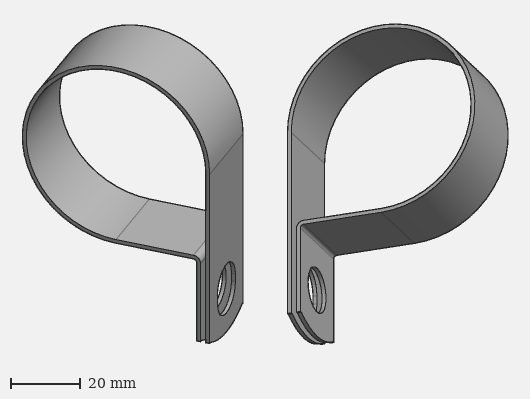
import cadquery as cq

strap_width = 25.4
strap_thickness = 1.22
loop_outer_diameter = 58.0
loop_outer_radius = loop_outer_diameter / 2
loop_inner_radius = loop_outer_radius - strap_thickness

overall_height = 87.72
leg_bottom = loop_outer_radius - overall_height
leg_gap = 1.6
bend_inner_radius = 1.0
bend_outer_radius = bend_inner_radius + strap_thickness
front_leg_outer_x = loop_inner_radius - leg_gap
front_leg_inner_x = front_leg_outer_x - strap_thickness
bend_center_x = front_leg_outer_x - bend_outer_radius
bend_center_z = -loop_inner_radius - bend_outer_radius

hole_diameter = 13.5
back_slot_length = 16.0
hole_height_above_end = 14.3
hole_center_z = leg_bottom + hole_height_above_end
end_radius = 26.3
end_shoulder_width = 0.75


def make_strap():
    """Bent strap: back leg, three-quarter loop, flat shelf, bend and front leg."""
    profile = (
        cq.Workplane("XZ")
        .moveTo(loop_outer_radius, leg_bottom)
        .lineTo(loop_outer_radius, 0)
        .threePointArc(arc_point(loop_outer_radius), (0, -loop_outer_radius))
        .lineTo(bend_center_x, -loop_outer_radius)
        .radiusArc((front_leg_inner_x, bend_center_z), bend_inner_radius)
        .lineTo(front_leg_inner_x, leg_bottom)
        .lineTo(front_leg_outer_x, leg_bottom)
        .lineTo(front_leg_outer_x, bend_center_z)
        .radiusArc((bend_center_x, -loop_inner_radius), -bend_outer_radius)
        .lineTo(0, -loop_inner_radius)
        .threePointArc(arc_point(loop_inner_radius), (loop_inner_radius, 0))
        .lineTo(loop_inner_radius, leg_bottom)
        .close()
    )
    return profile.extrude(strap_width / 2, both=True)


def arc_point(radius):
    """Middle of the three-quarter loop arc, at its upper left."""
    offset = radius / 2**0.5
    return (-offset, offset)


def make_side_outline():
    """Block with the strap's side outline, its lower end closed by a shallow arc."""
    half_width = strap_width / 2
    arc_half_width = half_width - end_shoulder_width
    end_rise = end_radius - (end_radius**2 - arc_half_width**2) ** 0.5
    shoulder_z = leg_bottom + end_rise
    return (
        cq.Workplane("YZ")
        .moveTo(-half_width, loop_outer_radius)
        .lineTo(-half_width, shoulder_z)
        .lineTo(-arc_half_width, shoulder_z)
        .threePointArc((0, leg_bottom), (arc_half_width, shoulder_z))
        .lineTo(half_width, shoulder_z)
        .lineTo(half_width, loop_outer_radius)
        .close()
        .extrude(loop_outer_radius, both=True)
    )


def make_front_leg_hole():
    """Round hole through the front leg."""
    return (
        cq.Workplane("YZ", origin=(front_leg_inner_x, 0, hole_center_z))
        .circle(hole_diameter / 2)
        .extrude(strap_thickness)
    )


def make_back_leg_slot():
    """Upright slot through the back leg, as wide as the front hole and centred on it."""
    return (
        cq.Workplane("YZ", origin=(loop_inner_radius, 0, hole_center_z))
        .slot2D(back_slot_length, hole_diameter, 90)
        .extrude(strap_thickness)
    )


strap = make_strap().intersect(make_side_outline())
result = strap.cut(make_front_leg_hole()).cut(make_back_leg_slot())